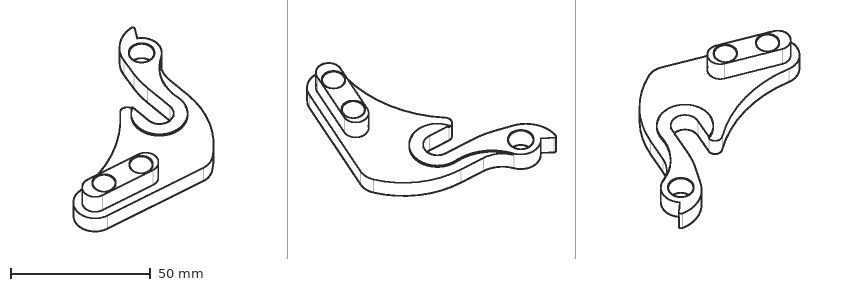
import cadquery as cq
import math

PLATE_THICKNESS = 7.0
ARM_THICKNESS = 7.85
TOTAL_HEIGHT = 15.0

HOOK_ANGLE = 21.0
SLOT_RADIUS = 5.1
RIM_RADIUS = 10.1
NUB_RADIUS = 2.6
NUB_SETBACK = 8.6

EYE_CENTER = (-29.5, 4.7)
EYE_RADIUS = 7.2
EYE_HOLE_RADIUS = 4.45

TAIL_CENTER = (-30.1, 10.2)
TAIL_RADIUS = 12.9
TAIL_LINE_ANGLE = 7.4
BEND_RADIUS = 35.2
TIP_RADIUS = 0.8
TIP_EDGE_ANGLE = 79.0
TIP_EDGE_OFFSET = -1.3

BACK_CENTER = (7.45, -20.5)
BACK_RADIUS = 35.85
NECK_RADIUS = 12.1
RIM_NECK_RADIUS = 19.7
SHOULDER_RADIUS = 7.8
BELLY_RADIUS = 48.55

FOOT_CENTER = (31.0, -36.7)
FOOT_RADIUS = 7.8
FOOT_ANGLE = 12.6
BOSS_RADIUS = 4.6
BOSS_SPACING = 21.8
BOSS_HOLE_RADIUS = 4.05
HOLE_CHAMFER = 0.2
BOSS_HOLE_DISTANCES = (3.9, 19.8)

TRIM_REACH = 48.55


def unit(angle):
    return (math.cos(math.radians(angle)), math.sin(math.radians(angle)))


def dot(a, b):
    return a[0] * b[0] + a[1] * b[1]


def move(point, direction, distance):
    return (point[0] + direction[0] * distance, point[1] + direction[1] * distance)


def toward(start, end, distance):
    """Point at the given distance from start on the line to end."""
    span = math.dist(start, end)
    return move(start, ((end[0] - start[0]) / span, (end[1] - start[1]) / span), distance)


def line_circle(normal, offset, center, radius, side):
    """Point where the line normal . p = offset meets a circle; side +1 is left of the normal."""
    gap = offset - dot(normal, center)
    foot = move(center, normal, gap)
    return move(foot, (-normal[1], normal[0]), side * math.sqrt(radius**2 - gap**2))


def circle_circle(center_a, radius_a, center_b, radius_b, side):
    """Point where two circles meet; side +1 is left of the direction from a to b."""
    span = math.dist(center_a, center_b)
    normal = ((center_b[0] - center_a[0]) / span, (center_b[1] - center_a[1]) / span)
    gap = (radius_a**2 - radius_b**2 + span**2) / (2 * span)
    return line_circle(normal, dot(normal, center_a) + gap, center_a, radius_a, side)


def arc_to(sketch, start, end, center, radius):
    """Draw the shorter arc about center from start to end."""
    chord_middle = ((start[0] + end[0]) / 2, (start[1] + end[1]) / 2)
    return sketch.threePointArc(toward(center, chord_middle, radius), end)


hook_center = (0, 0)
slot_direction = unit(HOOK_ANGLE)
slot_normal = unit(HOOK_ANGLE + 90)
slot_upper = move(hook_center, slot_normal, SLOT_RADIUS)
slot_lower = move(hook_center, slot_normal, -SLOT_RADIUS)
slot_end = move(hook_center, slot_direction, SLOT_RADIUS)
nub_top = move(slot_lower, slot_direction, -NUB_SETBACK)
nub_center = move(nub_top, slot_normal, -NUB_RADIUS)

belly_center = circle_circle(
    nub_center, NUB_RADIUS + BELLY_RADIUS, FOOT_CENTER, FOOT_RADIUS + BELLY_RADIUS, -1
)
nub_bottom = toward(nub_center, belly_center, NUB_RADIUS)
foot_left = toward(FOOT_CENTER, belly_center, FOOT_RADIUS)

side_normal = unit(FOOT_ANGLE)
foot_right = move(FOOT_CENTER, side_normal, FOOT_RADIUS)
side_offset = dot(side_normal, foot_right)
shoulder_center = line_circle(
    side_normal, side_offset - SHOULDER_RADIUS, BACK_CENTER, BACK_RADIUS - SHOULDER_RADIUS, 1
)
shoulder_low = move(shoulder_center, side_normal, SHOULDER_RADIUS)
shoulder_high = toward(BACK_CENTER, shoulder_center, BACK_RADIUS)

back_end = move(BACK_CENTER, slot_normal, BACK_RADIUS)
neck_center = line_circle(
    slot_normal, dot(slot_normal, back_end) + NECK_RADIUS, EYE_CENTER, EYE_RADIUS + NECK_RADIUS, -1
)
neck_start = move(neck_center, slot_normal, -NECK_RADIUS)
neck_end = toward(EYE_CENTER, neck_center, EYE_RADIUS)

tip_normal = unit(TIP_EDGE_ANGLE)
eye_corner = line_circle(tip_normal, TIP_EDGE_OFFSET, EYE_CENTER, EYE_RADIUS, 1)
tip_center = line_circle(
    tip_normal, TIP_EDGE_OFFSET - TIP_RADIUS, TAIL_CENTER, TAIL_RADIUS - TIP_RADIUS, 1
)
tip_top = move(tip_center, tip_normal, TIP_RADIUS)
tip_bottom = toward(TAIL_CENTER, tip_center, TAIL_RADIUS)
tail_direction = unit(TAIL_LINE_ANGLE)
tail_end = move(TAIL_CENTER, unit(TAIL_LINE_ANGLE - 90), TAIL_RADIUS)

bend_turn = math.radians(HOOK_ANGLE - TAIL_LINE_ANGLE)
corner_distance = (SLOT_RADIUS - dot(slot_normal, tail_end)) / dot(slot_normal, tail_direction)
bend_corner = move(tail_end, tail_direction, corner_distance)
bend_setback = BEND_RADIUS * math.tan(bend_turn / 2)
bend_start = move(bend_corner, tail_direction, -bend_setback)
bend_end = move(bend_corner, slot_direction, bend_setback)
bend_center = move(bend_end, slot_normal, BEND_RADIUS)


def make_outline():
    """Closed outline of the whole part, starting at the nub."""
    sketch = cq.Workplane("XY").moveTo(*nub_top)
    sketch = sketch.threePointArc(move(nub_center, slot_direction, -NUB_RADIUS), nub_bottom)
    sketch = arc_to(sketch, nub_bottom, foot_left, belly_center, BELLY_RADIUS)
    sketch = sketch.threePointArc(move(FOOT_CENTER, unit(FOOT_ANGLE - 90), FOOT_RADIUS), foot_right)
    sketch = sketch.lineTo(*shoulder_low)
    sketch = arc_to(sketch, shoulder_low, shoulder_high, shoulder_center, SHOULDER_RADIUS)
    sketch = arc_to(sketch, shoulder_high, back_end, BACK_CENTER, BACK_RADIUS)
    sketch = sketch.lineTo(*neck_start)
    sketch = arc_to(sketch, neck_start, neck_end, neck_center, NECK_RADIUS)
    sketch = arc_to(sketch, neck_end, eye_corner, EYE_CENTER, EYE_RADIUS)
    sketch = sketch.lineTo(*tip_top)
    sketch = arc_to(sketch, tip_top, tip_bottom, tip_center, TIP_RADIUS)
    sketch = arc_to(sketch, tip_bottom, tail_end, TAIL_CENTER, TAIL_RADIUS)
    sketch = sketch.lineTo(*bend_start)
    sketch = arc_to(sketch, bend_start, bend_end, bend_center, BEND_RADIUS)
    sketch = sketch.lineTo(*slot_upper).threePointArc(slot_end, slot_lower)
    return sketch.close()


def make_arm_region():
    """Block over the arm and hook rim, bounded by the rim's edge and open space beyond the arm."""
    rim_neck_center = circle_circle(
        EYE_CENTER, EYE_RADIUS + RIM_NECK_RADIUS, hook_center, RIM_RADIUS + RIM_NECK_RADIUS, 1
    )
    rim_start = toward(EYE_CENTER, rim_neck_center, EYE_RADIUS)
    rim_top = toward(hook_center, rim_neck_center, RIM_RADIUS)
    rim_end = move(hook_center, slot_direction, -RIM_RADIUS)
    below_tail = move(hook_center, slot_direction, -TRIM_REACH)
    sketch = cq.Workplane("XY").moveTo(*rim_start)
    sketch = arc_to(sketch, rim_start, rim_top, rim_neck_center, RIM_NECK_RADIUS)
    sketch = sketch.threePointArc(move(hook_center, slot_direction, RIM_RADIUS), rim_end)
    sketch = sketch.lineTo(*below_tail).lineTo(-TRIM_REACH, TRIM_REACH)
    sketch = sketch.lineTo(*toward(EYE_CENTER, rim_neck_center, TRIM_REACH))
    return sketch.close().extrude(ARM_THICKNESS)


def make_boss():
    """Long rounded boss standing on the plate, its lower end concentric with the foot."""
    middle = move(FOOT_CENTER, boss_direction, BOSS_SPACING / 2)
    return (
        cq.Workplane("XY")
        .center(*middle)
        .slot2D(BOSS_SPACING + 2 * BOSS_RADIUS, 2 * BOSS_RADIUS, FOOT_ANGLE + 90)
        .extrude(TOTAL_HEIGHT)
    )


def make_hole(center, radius, top):
    """Through hole whose rim is chamfered where it opens at height top."""
    bore = cq.Workplane("XY").center(*center).circle(radius).extrude(top)
    lead_in = (
        cq.Workplane("XY", origin=(*center, top))
        .circle(radius + HOLE_CHAMFER)
        .extrude(-HOLE_CHAMFER, taper=45)
    )
    return bore.union(lead_in)


boss_direction = unit(FOOT_ANGLE + 90)
plate = make_outline().extrude(PLATE_THICKNESS)
arm = make_outline().extrude(ARM_THICKNESS).intersect(make_arm_region())
result = plate.union(arm).union(make_boss())
result = result.cut(make_hole(EYE_CENTER, EYE_HOLE_RADIUS, ARM_THICKNESS))
for distance in BOSS_HOLE_DISTANCES:
    hole_center = move(FOOT_CENTER, boss_direction, distance)
    result = result.cut(make_hole(hole_center, BOSS_HOLE_RADIUS, TOTAL_HEIGHT))